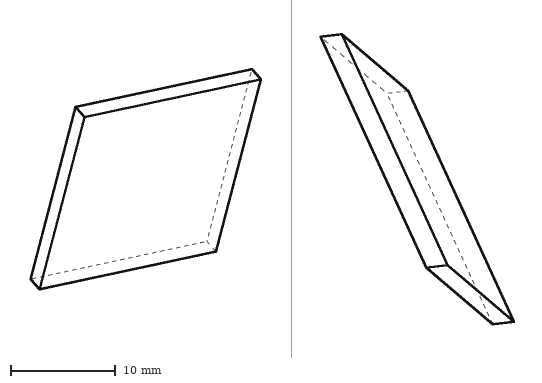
import cadquery as cq

length = 12.95
width = 18.4
height = 24.5

thickness = 2.18
lean = length - thickness

profile = [
    (0, 0),
    (thickness, 0),
    (length, height),
    (lean, height),
]
result = cq.Workplane("XZ").polyline(profile).close().extrude(width / 2, both=True)